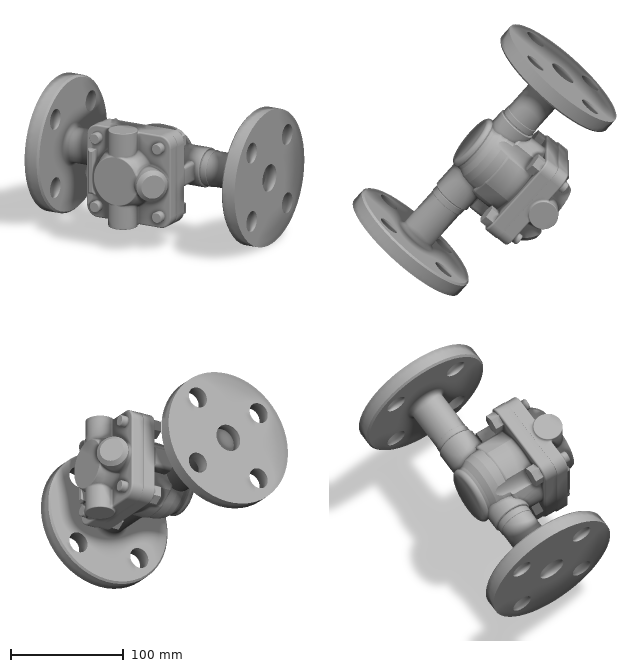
import cadquery as cq
import math


length = 215.0
flange_diameter = 125.0
flange_thickness = 14.0
flange_chamfer = 1.7
flange_hole_diameter = 19.0
flange_hole_offset = 31.8
pipe_diameter = 32.0
pipe_root_radius = 3.9
bore_diameter = 25.0
bore_depth = 10.8
weld_diameter = 33.1
weld_start = 46.0
weld_width = 5.8
weld_fillet = 0.5
socket_diameter = 36.0
socket_end = 45.2
socket_chamfer = 0.6

body_x = -6.0
body_half_width = 36.3
body_half_height = 33.1
body_shoulder_y = -6.2
body_shoulder_fillet = 2.5
body_root_fillet = 0.9
cap_y = 22.0
cap_radius = 26.2
cap_rounding = 4.3
neck_radius = 25.4
neck_top_y = 16.1
collar_radius = 26.5
collar_y = 13.5
cone_radius = 30.3
cone_y = 8.2
barrel_radius = 32.2
barrel_y = 1.3
crown_base_radius = 32.7
crown_base_y = body_shoulder_y - body_shoulder_fillet
body_flange_x = -2.4
body_flange_side = 85.5
body_flange_y = -34.6
parting_y = -47.0
plate_corner_radius = 11.0
plate_edge_fillet = 1.5
flat_inner_x = 7.7
flat_outer_x = 22.8
outlet_block_end_x = 40.6
outlet_block_half_height = 9.7
outlet_block_top_y = -17.5
outlet_block_fillet = 3.2

cover_x = -3.2
cover_side = 86.0
cover_y = -58.7
dome_end_y = -76.8
dome_base_radius = 29.0
dome_end_radius = 22.5
dome_edge_fillet = 0.9
port_diameter = 26.2
port_end_z = 44.7
port_edge_fillet = 0.6
cover_root_fillet = 1.5
seam_tolerance = 0.002
lug_diameter = 28.8
lug_chamfer = 3.7
lug_axis_x = 31.2
lug_length = 28.0
overall_depth = 144.7
lowest_y = flange_diameter / 2 - overall_depth
tag_x = -39.1
tag_width = 7.3
tag_height = 41.7
tag_y = -63.9
tag_chamfer = 2.0

bolt_x = -2.8
bolt_offset = 31.8
bolt_diameter = 10.0
bolt_end_y = -65.1
bolt_chamfer = 0.6
nut_across_flats = 16.0
nut_height = 8.2
nut_clearance_radius = 11.8
nut_clearance_end_y = 13.0


def y_plane(y):
    """Sketch plane across the Y axis; local x is X, local y is Z, extrusion runs toward -Y."""
    return cq.Workplane("XZ", origin=(0, y, 0))


def y_plate(center_x, side, back_y, front_y):
    """Square plate with rounded corners between two Y positions."""
    return (
        y_plane(back_y)
        .center(center_x, 0)
        .rect(side, side)
        .extrude(back_y - front_y)
        .edges("|Y")
        .fillet(plate_corner_radius)
    )


def blended_union(parts, radius, sharp_below_y):
    """Union of parts with a fillet along every seam, an edge that lies on two of them.

    Seams centered below the given Y stay sharp.
    """
    joined = parts[0]
    for part in parts[1:]:
        joined = joined.union(part)
    seams = []
    for edge in joined.edges().vals():
        middle = edge.positionAt(0.5)
        vertex = cq.Vertex.makeVertex(*middle.toTuple())
        touching = [part for part in parts if vertex.distance(part.val()) < seam_tolerance]
        if len(touching) > 1 and middle.y > sharp_below_y:
            seams.append(edge)
    return joined.newObject(seams).fillet(radius)


def pipe_side():
    """The -X half of the pipe line: flange, pipe, weld bead and half the socket."""
    flange_face = -length / 2 + flange_thickness
    flange_radius = flange_diameter / 2
    pipe_radius = pipe_diameter / 2
    flange_and_pipe = (
        cq.Workplane("XY")
        .moveTo(-length / 2, 0)
        .lineTo(-length / 2, flange_radius)
        .lineTo(flange_face - flange_chamfer, flange_radius)
        .lineTo(flange_face, flange_radius - flange_chamfer)
        .lineTo(flange_face, pipe_radius + pipe_root_radius)
        .radiusArc((flange_face + pipe_root_radius, pipe_radius), -pipe_root_radius)
        .lineTo(0, pipe_radius)
        .lineTo(0, 0)
        .close()
        .revolve(360, (0, 0, 0), (1, 0, 0))
    )
    weld = (
        cq.Workplane("YZ", origin=(-weld_start - weld_width, 0, 0))
        .circle(weld_diameter / 2)
        .extrude(weld_width)
        .edges()
        .fillet(weld_fillet)
    )
    socket = (
        cq.Workplane("YZ", origin=(-socket_end, 0, 0))
        .circle(socket_diameter / 2)
        .extrude(socket_end)
        .faces("<X")
        .chamfer(socket_chamfer)
    )
    holes = (
        cq.Workplane("YZ", origin=(-length / 2, 0, 0))
        .rect(2 * flange_hole_offset, 2 * flange_hole_offset, forConstruction=True)
        .vertices()
        .circle(flange_hole_diameter / 2)
        .extrude(flange_thickness)
    )
    bore = cq.Workplane("YZ", origin=(-length / 2, 0, 0)).circle(bore_diameter / 2).extrude(bore_depth)
    return flange_and_pipe.union(weld).union(socket).cut(holes).cut(bore)


def body_crown():
    """Turned upper body about the Y axis: rounded cap, narrow neck and widening shoulder."""
    cap_side_y = cap_y - cap_rounding
    return (
        cq.Workplane("XY", origin=(body_x, 0, 0))
        .moveTo(0, cap_y)
        .lineTo(cap_radius - cap_rounding, cap_y)
        .radiusArc((cap_radius, cap_side_y), cap_rounding)
        .lineTo(neck_radius, neck_top_y)
        .lineTo(collar_radius, collar_y)
        .lineTo(cone_radius, cone_y)
        .lineTo(barrel_radius, barrel_y)
        .lineTo(crown_base_radius, body_shoulder_y)
        .lineTo(crown_base_radius, crown_base_y)
        .lineTo(0, crown_base_y)
        .close()
        .revolve(360, (0, 0, 0), (0, 1, 0))
    )


def ellipse_height(x):
    """Half height of the oval body at a given X."""
    return body_half_height * math.sqrt(1 - ((x - body_x) / body_half_width) ** 2)


def body():
    oval = (
        y_plane(body_shoulder_y)
        .center(body_x, 0)
        .ellipse(body_half_width, body_half_height)
        .extrude(body_shoulder_y - body_flange_y)
    )
    for side in (1, -1):
        flat = (
            y_plane(body_shoulder_y)
            .moveTo(flat_inner_x, side * ellipse_height(flat_inner_x))
            .lineTo(flat_outer_x, side * ellipse_height(flat_outer_x))
            .lineTo(flat_outer_x, side * body_half_height)
            .lineTo(flat_inner_x, side * body_half_height)
            .close()
            .extrude(body_shoulder_y - body_flange_y)
        )
        oval = oval.cut(flat)
    oval = oval.faces(">Y").edges().fillet(body_shoulder_fillet)

    clearance = (
        y_plane(nut_clearance_end_y)
        .pushPoints([(bolt_x - bolt_offset, bolt_offset), (bolt_x - bolt_offset, -bolt_offset)])
        .circle(nut_clearance_radius)
        .extrude(nut_clearance_end_y - body_flange_y)
    )
    outlet_block = (
        cq.Workplane("XY")
        .box(
            outlet_block_end_x - body_x,
            outlet_block_top_y - body_flange_y,
            2 * outlet_block_half_height,
            centered=(False, False, True),
        )
        .translate((body_x, body_flange_y, 0))
        .edges("|Y and >X")
        .fillet(outlet_block_fillet)
    )
    flange = (
        y_plate(body_flange_x, body_flange_side, body_flange_y, parting_y)
        .faces(">Y")
        .edges()
        .fillet(plate_edge_fillet)
    )
    chamber = oval.union(body_crown()).cut(clearance)
    return blended_union([chamber, flange], body_root_fillet, parting_y).union(outlet_block)


def cover():
    plate = (
        y_plate(cover_x, cover_side, parting_y, cover_y)
        .faces("<Y")
        .edges()
        .fillet(plate_edge_fillet)
    )
    dome = (
        cq.Workplane("XY", origin=(body_x, 0, 0))
        .moveTo(0, parting_y)
        .lineTo(dome_base_radius, parting_y)
        .lineTo(dome_base_radius, cover_y)
        .lineTo(dome_end_radius, dome_end_y)
        .lineTo(0, dome_end_y)
        .close()
        .revolve(360, (0, 0, 0), (0, 1, 0))
        .faces("<Y")
        .edges()
        .fillet(dome_edge_fillet)
    )
    port = (
        cq.Workplane("XY", origin=(body_x, dome_end_y + port_diameter / 2, -port_end_z))
        .circle(port_diameter / 2)
        .extrude(2 * port_end_z)
        .edges()
        .fillet(port_edge_fillet)
    )
    rim_y = dome_end_y + dome_edge_fillet
    return blended_union([plate, dome, port, lug()], cover_root_fillet, rim_y).union(tag())


def lug():
    """Round lug tilted 45 degrees between +X and -Y; its chamfered rim reaches the lowest Y."""
    face_center = (lug_axis_x, lowest_y + (lug_diameter / 2 - lug_chamfer) * math.sqrt(0.5), 0)
    outward = cq.Plane(origin=face_center, xDir=(0, 0, 1), normal=(1, -1, 0))
    return (
        cq.Workplane(outward)
        .circle(lug_diameter / 2)
        .extrude(-lug_length)
        .faces(cq.selectors.DirectionMinMaxSelector(cq.Vector(1, -1, 0)))
        .chamfer(lug_chamfer)
    )


def tag():
    """Upright label bar on the cover face."""
    return (
        y_plane(cover_y)
        .center(tag_x, 0)
        .rect(tag_width, tag_height)
        .extrude(cover_y - tag_y)
        .faces("<Y")
        .chamfer(tag_chamfer)
    )


def bolts():
    places = [(bolt_x + sx * bolt_offset, sz * bolt_offset) for sx in (1, -1) for sz in (1, -1)]
    shanks = (
        y_plane(body_flange_y)
        .pushPoints(places)
        .circle(bolt_diameter / 2)
        .extrude(body_flange_y - bolt_end_y)
        .faces("<Y")
        .chamfer(bolt_chamfer)
    )
    across_corners = nut_across_flats / math.cos(math.pi / 6)
    bolts_with_nuts = shanks
    for x, z in places:
        nut = (
            cq.Workplane("XZ")
            .polygon(6, across_corners)
            .extrude(nut_height)
            .rotate((0, 0, 0), (0, 1, 0), 30)
            .translate((x, body_flange_y + nut_height, z))
        )
        bolts_with_nuts = bolts_with_nuts.union(nut)
    return bolts_with_nuts


half_line = pipe_side()
pipe_line = half_line.union(half_line.mirror("YZ"))
result = pipe_line.union(body()).union(cover()).union(bolts())